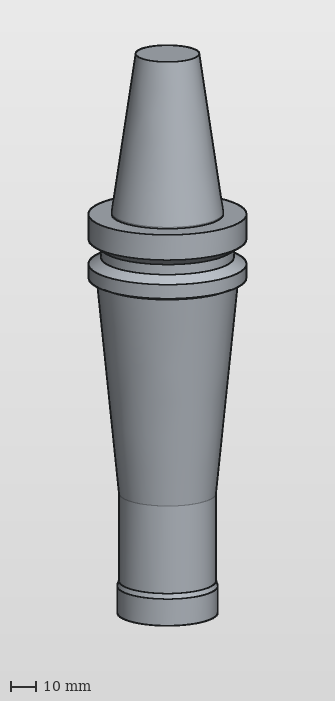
import cadquery as cq


nose_diameter = 40.0
shank_diameter = 38.7
body_diameter = 56.2
flange_diameter = 63.0
flange_relief_diameter = 58.5
groove_diameter = 53.0
gauge_diameter = 44.5

total_height = 230.5
nose_edge_z = 11.0
nose_top_z = 13.1
body_bottom_z = 49.3
body_top_z = 136.6
flange_bottom_z = 138.0
lower_rim_top_z = 143.8
groove_bottom_z = 146.5
groove_top_z = 150.7
upper_rim_bottom_z = 154.0
flange_top_z = 164.3
gauge_z = 165.0

taper_ratio = 7 / 24
taper_end_diameter = gauge_diameter - taper_ratio * (total_height - gauge_z)

profile = [
    (nose_diameter, 0),
    (nose_diameter, nose_edge_z),
    (shank_diameter, nose_top_z),
    (shank_diameter, body_bottom_z),
    (body_diameter, body_top_z),
    (flange_relief_diameter, flange_bottom_z),
    (flange_diameter, flange_bottom_z),
    (flange_diameter, lower_rim_top_z),
    (groove_diameter, groove_bottom_z),
    (groove_diameter, groove_top_z),
    (flange_diameter, upper_rim_bottom_z),
    (flange_diameter, flange_top_z),
    (gauge_diameter, flange_top_z),
    (gauge_diameter, gauge_z),
    (taper_end_diameter, total_height),
]

half_section = [(diameter / 2, z) for diameter, z in profile]
half_section = [(0, 0)] + half_section + [(0, total_height)]

result = cq.Workplane("XZ").polyline(half_section).close().revolve(360, (0, 0), (0, 1))